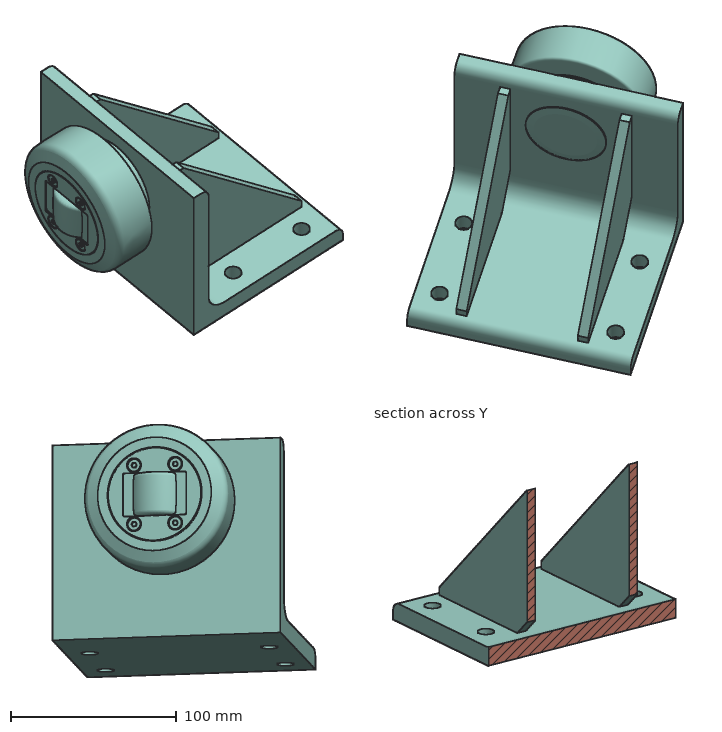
import cadquery as cq
import math

width = 140.0
leg = 120.0
plate = 12.0
inner_radius = 13.0
toe_radius = 6.5

rib_thickness = 6.5
rib_x = 38.0
rib_margin = 8.0
rib_land = 5.0
rib_corner_cut = 19.6

hole_diameter = 10.1
hole_x = 55.1
hole_rear_y = 99.7
hole_front_y = 44.7

axis_z = 79.9
hub_diameter = 59.0
hub_depth = 9.1
neck_diameter = 57.8
roller_back = 10.0
roller_front = 40.7
roller_radius = 44.3
roller_crown = 0.3
back_round = 1.7
shoulder_depth = 33.5
bevel_depth = 37.7
bevel_radius = 41.5
face_radius = 34.9

cap_bore_diameter = 57.8
cap_gap = 0.3
cap_rise = 0.2
cap_groove_depth = 1.7

boss_diameter = 50.5
boss_height = 1.3
boss_chamfer_height = 0.7
boss_chamfer_width = 5.5

window_width = 38.9
window_height = 26.5
window_corner = 1.2
window_depth = 1.0
side_roller_radius = 17.1
side_roller_crown = 0.3
side_roller_height = 26.2
side_roller_round = 2.3
total_depth = 166.1
front_reach = total_depth - leg

screw_x = 12.6
screw_z = 18.1
screw_diameter = 7.8
counterbore_diameter = 8.6
screw_recess = 0.3
counterbore_depth = 1.3
socket_corner_diameter = 3.2
socket_depth = 1.3


def disc(diameter, start_depth, end_depth):
    """Disc on the roller axis; depth runs from the upright toward -Y."""
    plane = cq.Workplane("XZ", origin=(0, -start_depth, axis_z))
    return plane.circle(diameter / 2).extrude(end_depth - start_depth)


def edge_near(y, z):
    """Select the full-width edge of the angle at the given Y and Z."""
    return cq.selectors.NearestToPointSelector((0, y, z))


def make_angle():
    profile = (
        cq.Workplane("YZ", origin=(-width / 2, 0, 0))
        .polyline([(0, 0), (leg, 0), (leg, plate), (plate, plate), (plate, leg), (0, leg)])
        .close()
        .extrude(width)
    )
    angle = profile.edges(edge_near(plate, plate)).fillet(inner_radius)
    for y, z in [(leg, plate), (plate, leg)]:
        angle = angle.edges(edge_near(y, z)).fillet(toe_radius)
    holes = (
        cq.Workplane("XY")
        .pushPoints([(x, y) for x in (-hole_x, hole_x) for y in (hole_front_y, hole_rear_y)])
        .circle(hole_diameter / 2)
        .extrude(plate)
    )
    return angle.cut(holes)


def make_rib(center_x):
    tip = leg - rib_margin
    return (
        cq.Workplane("YZ", origin=(center_x - rib_thickness / 2, 0, 0))
        .polyline([
            (plate, plate + rib_corner_cut),
            (plate, tip),
            (plate + rib_land, tip),
            (tip, plate + rib_land),
            (tip, plate),
            (plate + rib_corner_cut, plate),
        ])
        .close()
        .extrude(rib_thickness)
    )


def make_roller():
    """Revolve the crowned tread with its rounded shoulder and bevelled face."""
    edge_radius = roller_radius - roller_crown
    tread_start = roller_back + back_round
    tread_middle = (tread_start + shoulder_depth) / 2
    bend = math.sqrt(0.5)
    corner = (edge_radius - back_round * (1 - bend), -roller_back - back_round * (1 - bend))
    return (
        cq.Workplane("XY")
        .moveTo(0, -roller_back)
        .lineTo(edge_radius - back_round, -roller_back)
        .threePointArc(corner, (edge_radius, -tread_start))
        .threePointArc((roller_radius, -tread_middle), (edge_radius, -shoulder_depth))
        .tangentArcPoint((bevel_radius, -bevel_depth), relative=False)
        .lineTo(face_radius, -roller_front)
        .lineTo(0, -roller_front)
        .close()
        .revolve(360, (0, 0), (0, 1))
        .translate((0, 0, axis_z))
    )


def cut_cap(body):
    """Raise the cap face above the roller and leave a narrow groove around it."""
    body = body.cut(disc(cap_bore_diameter, roller_front - cap_groove_depth, roller_front))
    cap_diameter = cap_bore_diameter - 2 * cap_gap
    return body.union(disc(cap_diameter, roller_front - cap_groove_depth, roller_front + cap_rise))


def add_screws(body, cap_front):
    floor = cap_front - counterbore_depth
    head_front = cap_front - screw_recess
    spots = [(x, z) for x in (-screw_x, screw_x) for z in (-screw_z, screw_z)]
    floor_plane = cq.Workplane("XZ", origin=(0, -floor, axis_z)).pushPoints(spots)
    body = body.cut(floor_plane.circle(counterbore_diameter / 2).extrude(counterbore_depth))
    body = body.union(floor_plane.circle(screw_diameter / 2).extrude(head_front - floor))
    sockets = (
        cq.Workplane("XZ", origin=(0, -(head_front - socket_depth), axis_z))
        .pushPoints(spots)
        .polygon(6, socket_corner_diameter)
        .extrude(socket_depth)
    )
    return body.cut(sockets)


def add_side_roller(body, cap_front):
    window = (
        cq.Workplane("XZ", origin=(0, -(cap_front - window_depth), axis_z))
        .rect(window_width, window_height)
        .extrude(window_depth)
        .edges("|Y")
        .fillet(window_corner)
    )
    half_height = side_roller_height / 2
    end_radius = side_roller_radius - side_roller_crown
    side_roller = (
        cq.Workplane("XZ")
        .moveTo(0, -half_height)
        .lineTo(end_radius, -half_height)
        .threePointArc((side_roller_radius, 0), (end_radius, half_height))
        .lineTo(0, half_height)
        .close()
        .revolve(360, (0, 0), (0, 1))
        .faces("|Z")
        .edges()
        .fillet(side_roller_round)
        .translate((0, side_roller_radius - front_reach, axis_z))
    )
    return body.cut(window).union(side_roller)


cap_front_depth = roller_front + cap_rise

bracket = make_angle()
for rib_center in (-rib_x, rib_x):
    bracket = bracket.union(make_rib(rib_center))

boss_depth = plate + boss_height
boss_core = disc(boss_diameter, -(boss_depth - boss_chamfer_height), 0)
boss_tip = (
    cq.Workplane("XZ", origin=(0, boss_depth, axis_z))
    .circle(boss_diameter / 2 - boss_chamfer_width)
    .workplane(offset=boss_chamfer_height)
    .circle(boss_diameter / 2)
    .loft()
)
boss = boss_core.union(boss_tip)

roller = cut_cap(make_roller())
roller = add_screws(roller, cap_front_depth)
roller = add_side_roller(roller, cap_front_depth)

result = (
    bracket.union(boss)
    .union(disc(hub_diameter, 0, hub_depth))
    .union(disc(neck_diameter, hub_depth, roller_back))
    .union(roller)
)